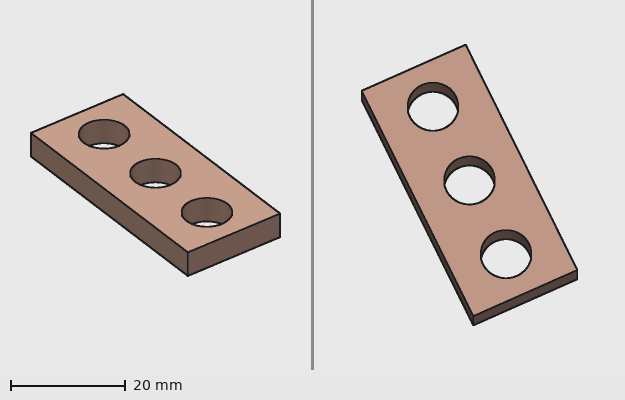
import cadquery as cq

length = 45.95
width = 20.1
thickness = 5.0

hole_diameter = 8.85
hole_pitch = 15.05
hole_count = 3

bar = cq.Workplane("XY").box(length, width, thickness)

result = (
    bar.faces(">Z")
    .workplane()
    .rarray(hole_pitch, width, hole_count, 1)
    .hole(hole_diameter)
)